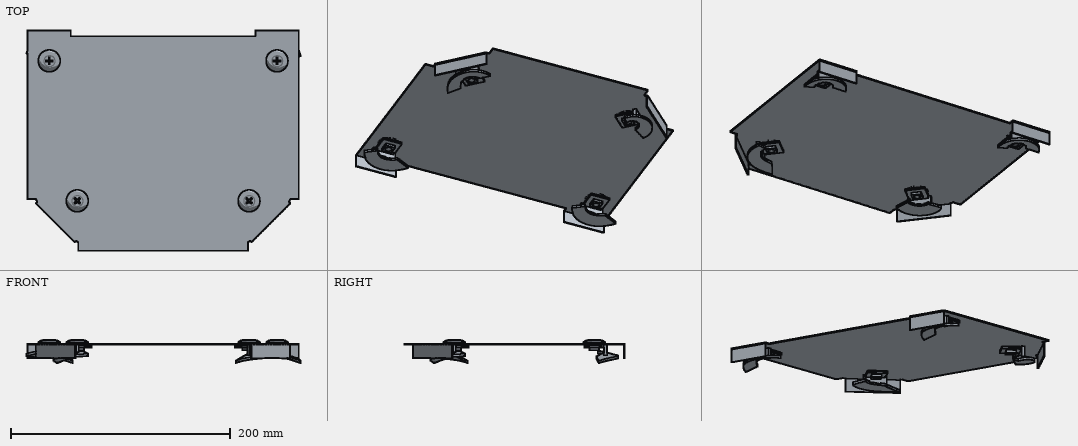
import cadquery as cq
import math

SHEET = 1.0
COVER_WIDTH = 247.4
COVER_DEPTH = 200.6
FLANGE_HEIGHT = 13.0
FRONT_HALF_WIDTH = 77.5
SIDE_START_Y = 47.0
BEVEL_OUTER = (116.0, 43.2)
BEVEL_INNER = (80.5, 7.7)
RELIEF = 1.7
BACK_RECESS_HALF = 84.0
BACK_RECESS_DEPTH = 5.2
HALF_WIDTH = COVER_WIDTH / 2

BACK_X, BACK_Y = 103.7, 173.0
FRONT_X, FRONT_Y = 78.2, 45.5
FASTENERS = [
    (-BACK_X, BACK_Y, 0),
    (BACK_X, BACK_Y, 0),
    (-FRONT_X, FRONT_Y, 135),
    (FRONT_X, FRONT_Y, 225),
]

HEAD_RADIUS = 10.0
HEAD_RIM = 1.2
HEAD_HEIGHT = 3.5
HEAD_FLAT_RADIUS = 5.0
DOME_MID_RADIUS = 8.0
DOME_MID_HEIGHT = 2.7
SHANK_RADIUS = 3.0
SLOT_LENGTH = 6.5
SLOT_WIDTH = 1.2
SLOT_DEPTH = 1.2

BASE_HALF = 9.2
STRAP_HALF = 8.5
BASE_BACK_Y = 7.0
BASE_TOP = -1.7
BASE_BOTTOM = -3.5
HUB_SIZE = 9.0
HUB_BOTTOM = -6.0
LEG_HALF_WIDTH = 10.7
LEG_INNER_Y = 8.7
LEG_OUTER_Y = 11.7
LEG_END_HIGH, LEG_END_MIDDLE, LEG_END_LOW = -8.0, -8.2, -11.2
BLADE_INNER_RADIUS = 10.0
BLADE_OUTER_RADIUS = 22.0
BLADE_HIGH_ANGLE = 162
BLADE_LOW_ANGLE = 11
BLADE_THICKNESS = 2.2
BLADE_INNER_TOP, BLADE_INNER_FALL, BLADE_INNER_BEND = -6.2, 3.0, 2.2
BLADE_OUTER_TOP, BLADE_OUTER_FALL, BLADE_OUTER_BEND = -9.0, 3.7, 2.7
BLADE_BEND_POWER = 6
BLADE_SECTIONS = 11


def block(x0, x1, y0, y1, z0, z1):
    """Box between two opposite corners."""
    return cq.Workplane("XY").box(x1 - x0, y1 - y0, z1 - z0, centered=False).translate((x0, y0, z0))


def bevel_flange():
    """Flange hanging from the left bevel edge, its outer face on that edge."""
    inset = SHEET / math.sqrt(2)
    (x_out, y_out), (x_in, y_in) = BEVEL_OUTER, BEVEL_INNER
    outline = [(-x_out, y_out), (-x_in, y_in), (inset - x_in, inset + y_in), (inset - x_out, inset + y_out)]
    return cq.Workplane("XY").polyline(outline).close().extrude(-FLANGE_HEIGHT)


def make_cover():
    """Flat sheet with two back flanges, two bevel flanges and four bolt holes."""
    notch = RELIEF / math.sqrt(2)
    recess_y = COVER_DEPTH - BACK_RECESS_DEPTH
    right_edge = [
        (FRONT_HALF_WIDTH, 0),
        (FRONT_HALF_WIDTH, BEVEL_INNER[1]),
        (BEVEL_INNER[0] - notch, BEVEL_INNER[1] + notch),
        BEVEL_INNER,
        BEVEL_OUTER,
        (BEVEL_OUTER[0] - notch, BEVEL_OUTER[1] + notch),
        (BEVEL_OUTER[0], SIDE_START_Y),
        (HALF_WIDTH, SIDE_START_Y),
        (HALF_WIDTH, COVER_DEPTH),
        (BACK_RECESS_HALF, COVER_DEPTH),
        (BACK_RECESS_HALF, recess_y),
    ]
    left_edge = [(-x, y) for x, y in reversed(right_edge)]
    cover = cq.Workplane("XY").polyline(right_edge + left_edge).close().extrude(-SHEET)

    back_flange = block(-HALF_WIDTH, -BACK_RECESS_HALF, COVER_DEPTH - SHEET, COVER_DEPTH, -FLANGE_HEIGHT, 0)
    for flange in (back_flange, bevel_flange()):
        cover = cover.union(flange).union(flange.mirror("YZ"))

    hole_places = [(x, y) for x, y, turn in FASTENERS]
    holes = cq.Workplane("XY").pushPoints(hole_places).circle(SHANK_RADIUS).extrude(-SHEET)
    return cover.cut(holes)


def make_bolt():
    """Domed head with a cross slot, and a shank that ends flush with the latch hub."""
    profile = (
        cq.Workplane("XZ")
        .moveTo(0, HUB_BOTTOM)
        .lineTo(SHANK_RADIUS, HUB_BOTTOM)
        .lineTo(SHANK_RADIUS, 0)
        .lineTo(HEAD_RADIUS, 0)
        .lineTo(HEAD_RADIUS, HEAD_RIM)
        .threePointArc((DOME_MID_RADIUS, DOME_MID_HEIGHT), (HEAD_FLAT_RADIUS, HEAD_HEIGHT))
        .lineTo(0, HEAD_HEIGHT)
        .close()
    )
    bolt = profile.revolve(360, (0, 0, 0), (0, 1, 0))
    slot_floor = cq.Workplane("XY").workplane(offset=HEAD_HEIGHT - SLOT_DEPTH)
    for length_x, length_y in ((SLOT_LENGTH, SLOT_WIDTH), (SLOT_WIDTH, SLOT_LENGTH)):
        bolt = bolt.cut(slot_floor.rect(length_x, length_y).extrude(SLOT_DEPTH))
    return bolt


def blade_section(fraction):
    """Radial cross-section of the blade, from its high end (0) to its low end (1)."""
    angle = math.radians(BLADE_HIGH_ANGLE + fraction * (BLADE_LOW_ANGLE - BLADE_HIGH_ANGLE))
    bend = fraction**BLADE_BEND_POWER
    inner_top = BLADE_INNER_TOP - BLADE_INNER_FALL * fraction - BLADE_INNER_BEND * bend
    outer_top = BLADE_OUTER_TOP - BLADE_OUTER_FALL * fraction - BLADE_OUTER_BEND * bend
    corners = [
        (BLADE_INNER_RADIUS, inner_top),
        (BLADE_OUTER_RADIUS, outer_top),
        (BLADE_OUTER_RADIUS, outer_top - BLADE_THICKNESS),
        (BLADE_INNER_RADIUS, inner_top - BLADE_THICKNESS),
    ]
    points = [cq.Vector(r * math.cos(angle), r * math.sin(angle), z) for r, z in corners]
    return cq.Wire.makePolygon(points, close=True)


def make_blade():
    """Sloping fan-shaped blade that falls towards +X and bends down at its low end."""
    sections = [blade_section(i / (BLADE_SECTIONS - 1)) for i in range(BLADE_SECTIONS)]
    return cq.Workplane(cq.Solid.makeLoft(sections))


def make_leg():
    """Wall that joins the base to the blade, its lower end following the blade."""
    outline = [
        (-LEG_HALF_WIDTH, -SHEET),
        (LEG_HALF_WIDTH, -SHEET),
        (LEG_HALF_WIDTH, LEG_END_LOW),
        (0, LEG_END_MIDDLE),
        (-LEG_HALF_WIDTH, LEG_END_HIGH),
    ]
    leg_start = cq.Workplane("XZ", origin=(0, LEG_OUTER_Y, 0))
    return leg_start.polyline(outline).close().extrude(LEG_OUTER_Y - LEG_INNER_Y)


def make_latch():
    """Base under the cover with a square hub, a leg and the blade it carries."""
    strap = block(-STRAP_HALF, STRAP_HALF, -STRAP_HALF, LEG_OUTER_Y, BASE_BOTTOM, -SHEET)
    base = block(-BASE_HALF, BASE_HALF, -BASE_HALF, BASE_BACK_Y, BASE_BOTTOM, BASE_TOP)
    hub = block(-HUB_SIZE / 2, HUB_SIZE / 2, -HUB_SIZE / 2, HUB_SIZE / 2, HUB_BOTTOM, BASE_BOTTOM)
    latch = strap.union(base).union(hub).union(make_leg()).union(make_blade())
    shank_hole = cq.Workplane("XY").circle(SHANK_RADIUS).extrude(HUB_BOTTOM)
    return latch.cut(shank_hole)


def place_copies(body):
    """One turned copy of a body at each fastener place."""
    solid = body.solids().val()
    origin = cq.Vector(0, 0, 0)
    upward = cq.Vector(0, 0, 1)
    copies = []
    for x, y, turn in FASTENERS:
        turned = solid.rotate(origin, upward, turn)
        copies.append(turned.translate(cq.Vector(x, y, 0)))
    return copies


cover = make_cover().solids().val()
bolts = place_copies(make_bolt())
latches = place_copies(make_latch())
result = cq.Compound.makeCompound([cover, *bolts, *latches])